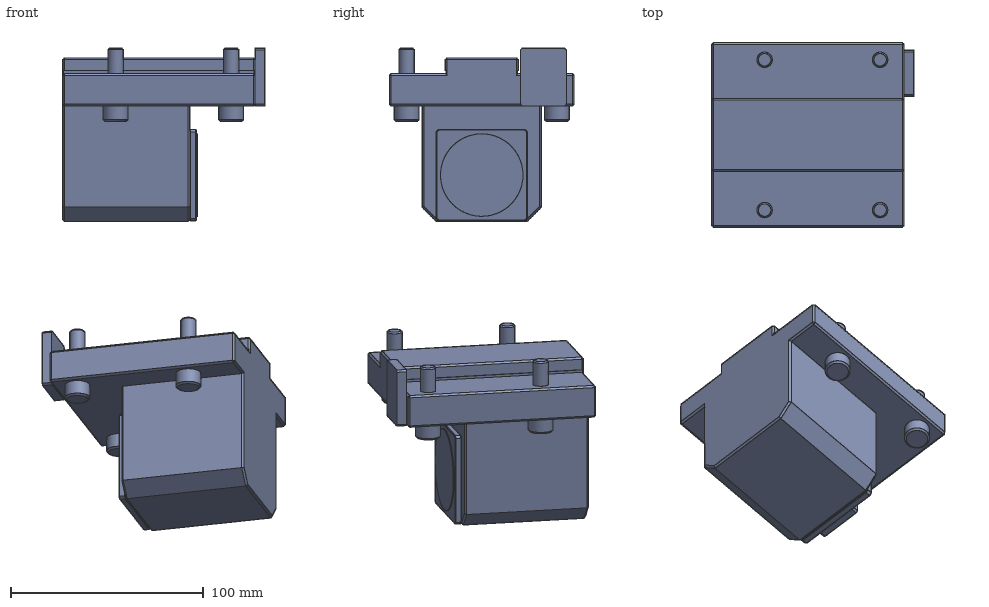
import cadquery as cq


plate_length = 100.0
plate_width = 96.0
plate_bottom = 60.0
plate_top = 77.0
block_length = 66.0
block_width = 62.0
block_corner = 7.5
rail_width = 38.0
rail_top = 85.0
groove_height = 1.4
groove_depth = 0.4
edge_chamfer = 1.0

stop_thickness = 5.0
stop_width = 24.0
stop_height = 30.0
stop_center_y = 32.0

bolt_diameter = 8.0
bolt_tip_chamfer = 0.7
bolt_head_diameter = 13.0
bolt_head_height = bolt_diameter
bolt_head_chamfer = 0.9
bolt_first_x = 27.5
bolt_spacing_x = 60.0
bolt_spacing_y = 78.0

cover_width = 47.5
cover_thickness = 3.5
cover_bottom = 0.4
cover_side_chamfer = 1.3
cover_rim_chamfer = 0.4
disc_diameter = 42.8
disc_height = 0.5

plate_middle = (plate_bottom + plate_top) / 2
assembly_top = plate_bottom + stop_height


def box_between(x_min, x_max, y_min, y_max, z_min, z_max):
    """Box between the given limits along each axis."""
    return (
        cq.Workplane("XY", origin=(x_min, y_min, z_min))
        .box(x_max - x_min, y_max - y_min, z_max - z_min, centered=False)
    )


def symmetric_prism(half_outline, length):
    """Extrude an outline, mirrored about Y = 0, from X = 0 along +X."""
    other_half = [(-y, z) for y, z in reversed(half_outline)]
    return cq.Workplane("YZ").polyline(half_outline + other_half).close().extrude(length)


def make_block():
    """Block reaching up into the plate, with lower corners cut and end edges broken."""
    half_width = block_width / 2
    block = symmetric_prism(
        [
            (half_width - block_corner, 0),
            (half_width, block_corner),
            (half_width, plate_middle),
        ],
        block_length,
    )
    return block.faces("<X or >X").edges("not >Z").chamfer(edge_chamfer)


def make_plate_and_rail():
    """Plate with the rail along its middle, all outer edges broken."""
    plate = (
        box_between(0, plate_length, -plate_width / 2, plate_width / 2, plate_bottom, plate_top)
        .edges().chamfer(edge_chamfer)
    )
    half_rail = rail_width / 2
    rail = (
        box_between(0, plate_length, -half_rail, half_rail, plate_middle, rail_top)
        .edges("not <Z").chamfer(edge_chamfer)
    )
    groove_top = plate_top + groove_height
    right_groove = box_between(
        0, plate_length, half_rail - groove_depth, half_rail, plate_top, groove_top
    )
    rail = rail.cut(right_groove).cut(right_groove.mirror("XZ"))
    return plate.union(rail)


def make_bolt(x, y):
    """Bolt through the plate, head below and shank end above."""
    shank = (
        cq.Workplane("XY", origin=(x, y, plate_bottom))
        .circle(bolt_diameter / 2)
        .extrude(assembly_top - plate_bottom)
        .faces(">Z").chamfer(bolt_tip_chamfer)
    )
    head = (
        cq.Workplane("XY", origin=(x, y, plate_bottom - bolt_head_height))
        .circle(bolt_head_diameter / 2)
        .extrude(bolt_head_height)
        .faces("<Z").chamfer(bolt_head_chamfer)
    )
    return shank.union(head)


def make_stop():
    """Upright stop, with the edges along X broken."""
    stop_end = plate_length + stop_thickness
    y_min = stop_center_y - stop_width / 2
    y_max = stop_center_y + stop_width / 2
    stop = box_between(plate_length, stop_end, y_min, y_max, plate_bottom, assembly_top)
    return stop.edges("|X").chamfer(edge_chamfer)


def make_cover():
    """Square cover with a low disc on its outer face."""
    cover_end = block_length + cover_thickness
    half_width = cover_width / 2
    cover_top = cover_bottom + cover_width
    cover = (
        box_between(block_length, cover_end, -half_width, half_width, cover_bottom, cover_top)
        .edges("|X").chamfer(cover_side_chamfer)
        .faces("<X or >X").chamfer(cover_rim_chamfer)
    )
    disc = (
        cq.Workplane("YZ", origin=(cover_end, 0, cover_bottom + half_width))
        .circle(disc_diameter / 2)
        .extrude(disc_height)
    )
    return cover.union(disc)


result = make_block().union(make_plate_and_rail()).union(make_stop()).union(make_cover())
for bolt_x in (bolt_first_x, bolt_first_x + bolt_spacing_x):
    for bolt_y in (-bolt_spacing_y / 2, bolt_spacing_y / 2):
        result = result.union(make_bolt(bolt_x, bolt_y))